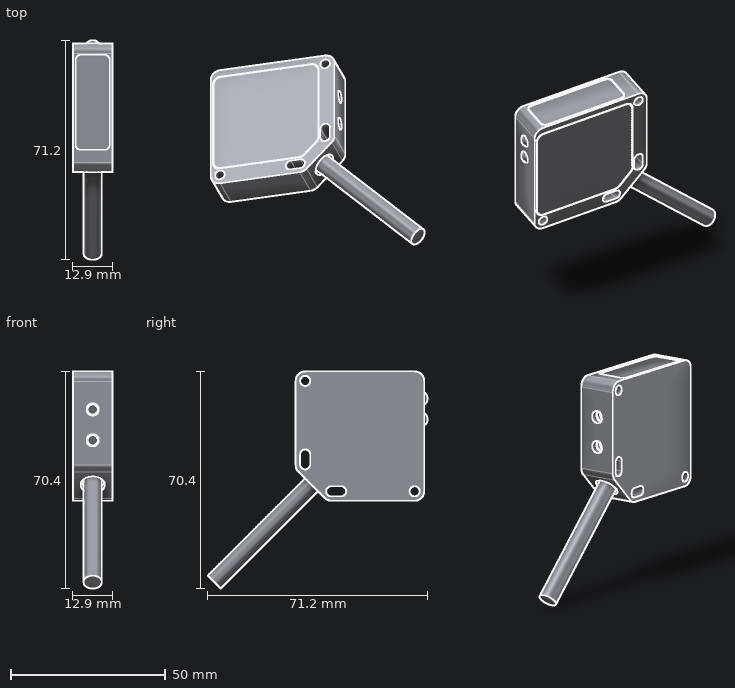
import cadquery as cq
import math


thickness = 12.9
width = 41.75
height = 42.0
chamfer_leg = 10.4
corner_radius = 3.2

mount_diameter = 3.2
mount_inset = 3.1
slot_length = 6.4
slot_distance = 28.6

plate_inset_back = 0.9
plate_inset_top = 2.65
plate_width = 35.3
plate_height = 33.7
plate_chamfer_leg = 5.5
plate_corner_radius = 2.4
plate_thickness = 0.7
plate_gap = 0.18

window_width = 11.05
window_length = 30.85
window_inset_back = 3.7
window_corner_radius = 1.7
window_thickness = 0.7
window_recess = 0.35

adjuster_diameter = 4.0
adjuster_depth = 2.3
adjuster_bottom_diameter = 3.3
adjuster_bottom_depth = 1.4
adjuster_count = 2
adjuster_pitch = 10.0
upper_adjuster_drop = 12.4

dome_base_diameter = 4.0
dome_height = 1.1
dome_count = 2
dome_pitch = 6.8
upper_dome_drop = 8.8

cable_diameter = 6.0
cable_overhang = 28.4
recess_diameter = 7.8
recess_depth = 2.15

diagonal = cq.Vector(0, math.sqrt(0.5), math.sqrt(0.5))
across_diagonal = cq.Vector(0, -math.sqrt(0.5), math.sqrt(0.5))
chamfer_distance = chamfer_leg * math.sqrt(0.5)
recess_floor_distance = chamfer_distance + recess_depth


def chamfered_block(y_min, y_max, z_min, z_max, leg, depth, radius):
    """Rectangle in YZ with its lower front corner cut at 45 degrees, going in from the -X face."""
    return (
        cq.Workplane("YZ", origin=(-thickness / 2, 0, 0))
        .moveTo(y_min + leg, z_min)
        .lineTo(y_max, z_min)
        .lineTo(y_max, z_max)
        .lineTo(y_min, z_max)
        .lineTo(y_min, z_min + leg)
        .close()
        .extrude(depth)
        .edges("|X")
        .fillet(radius)
    )


def plate_block(clearance):
    """The side plate, or its pocket when grown outwards by a clearance."""
    y_max = width - plate_inset_back
    z_max = height - plate_inset_top
    leg = plate_chamfer_leg + (2 - math.sqrt(2)) * clearance
    radius = plate_corner_radius + clearance
    return chamfered_block(
        y_max - plate_width - clearance,
        y_max + clearance,
        z_max - plate_height - clearance,
        z_max + clearance,
        leg,
        plate_thickness,
        radius,
    )


def window_block(depth):
    """Rounded block that reaches from the window's underside up by a depth."""
    y_centre = width - window_inset_back - window_length / 2
    underside = height - window_recess - window_thickness
    return (
        cq.Workplane("XY", origin=(0, y_centre, underside))
        .rect(window_width, window_length)
        .extrude(depth)
        .edges("|Z")
        .fillet(window_corner_radius)
    )


def diagonal_cylinder(diameter, start, end):
    """Cylinder along the YZ diagonal, between two distances from the sharp corner."""
    start_plane = cq.Plane(diagonal * start, across_diagonal, diagonal)
    return cq.Workplane(start_plane).circle(diameter / 2).extrude(end - start)


def mounting_cutters():
    """Two round holes and two slots through the thickness."""
    sketch = cq.Workplane("YZ", origin=(-thickness / 2, 0, 0))
    hole_places = [(mount_inset, height - mount_inset), (width - mount_inset, mount_inset)]
    holes = sketch.pushPoints(hole_places).circle(mount_diameter / 2).extrude(thickness)
    upright_slot = (
        sketch.center(mount_inset, height - slot_distance)
        .slot2D(slot_length, mount_diameter, 90)
        .extrude(thickness)
    )
    level_slot = (
        sketch.center(width - slot_distance, mount_inset)
        .slot2D(slot_length, mount_diameter)
        .extrude(thickness)
    )
    return holes.union(upright_slot).union(level_slot)


def adjuster_cutter(z):
    """Stepped blind hole from the front face, narrower at the bottom."""
    front_face = cq.Workplane("XZ", origin=(0, 0, z))
    bore = front_face.circle(adjuster_diameter / 2).extrude(-adjuster_depth)
    bottom = front_face.circle(adjuster_bottom_diameter / 2).extrude(-adjuster_depth - adjuster_bottom_depth)
    return bore.union(bottom)


def make_housing():
    """Chamfered block with all the recesses that hold the other bodies."""
    housing = chamfered_block(0, width, 0, height, chamfer_leg, thickness, corner_radius)
    housing = housing.cut(mounting_cutters())
    housing = housing.cut(plate_block(plate_gap))
    housing = housing.cut(window_block(window_thickness + window_recess))
    housing = housing.cut(diagonal_cylinder(recess_diameter, 0, recess_floor_distance))
    for index in range(adjuster_count):
        z = height - upper_adjuster_drop - index * adjuster_pitch
        housing = housing.cut(adjuster_cutter(z))
    return housing


def make_cable():
    """Straight round cable from the recess floor to its free end."""
    end_offset = cable_overhang - cable_diameter / 2 * math.sqrt(0.5)
    return diagonal_cylinder(cable_diameter, -end_offset * math.sqrt(2), recess_floor_distance)


def make_dome(z):
    """Spherical cap standing on the back face."""
    base_radius = dome_base_diameter / 2
    sphere_radius = (base_radius**2 + dome_height**2) / (2 * dome_height)
    middle_angle = math.atan2(base_radius, sphere_radius - dome_height) / 2
    sphere_centre = dome_height - sphere_radius
    arc_middle = (
        sphere_centre + sphere_radius * math.cos(middle_angle),
        sphere_radius * math.sin(middle_angle),
    )
    return (
        cq.Workplane("YZ", origin=(0, width, z))
        .lineTo(0, base_radius)
        .threePointArc(arc_middle, (dome_height, 0))
        .close()
        .revolve(360, (0, 0, 0), (1, 0, 0))
    )


housing = make_housing()
side_plate = plate_block(0)
window = window_block(window_thickness)
cable = make_cable()
domes = [make_dome(height - upper_dome_drop - index * dome_pitch) for index in range(dome_count)]

result = cq.Compound.makeCompound(
    [housing.val(), side_plate.val(), window.val(), cable.val(), *[dome.val() for dome in domes]]
)